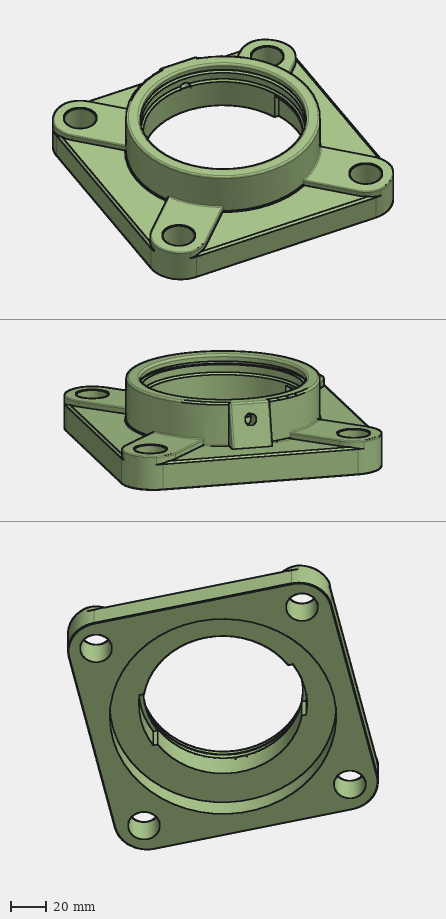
import cadquery as cq
import math

flange_side = 152.5
corner_radius = 18.9
flange_height = 16.3
flange_chamfer_drop = 1.2
flange_chamfer_width = 1.5
bottom_chamfer = 0.5

small_fillet = 0.6

pad_height = 20.0
bolt_offset = 59.8
pad_radius = 16.2
bolt_hole_radius = 9.0
bolt_hole_chamfer = 0.5

ring_height = 41.6
ring_radius = 54.9
ring_fillet = 1.2

recess_radius = 64.0
recess_depth = 13.0
bore_radius = 45.1
seat_floor = 30.0
seat_radius = 46.4
seat_chamfer_height = 1.2
groove_floor = 35.7
groove_roof = 37.5
groove_radius = 48.8
neck_radius = 47.0
mouth_fillet = 1.4

slot_width = 33.9
slot_radius = 47.6
slot_top = 28.4

ridge_width = 23.8
ridge_foot = 61.0
ridge_top = 54.6
ridge_edge_fillet = 1.0
lube_hole_radius = 3.4
lube_hole_height = 31.9


def rounded_square(height):
    block = cq.Workplane("XY").rect(flange_side, flange_side).extrude(height)
    return block.edges("|Z").fillet(corner_radius)


def make_flange():
    flange = rounded_square(flange_height)
    flange = flange.faces("<Z").chamfer(bottom_chamfer)
    return flange.faces(">Z").chamfer(flange_chamfer_drop, flange_chamfer_width)


def make_pad(angle):
    """Straight-sided pad with a round outer end, trimmed to the flange corner."""
    bolt_distance = bolt_offset * math.sqrt(2)
    pad_base = flange_height - flange_chamfer_drop
    pad = (
        cq.Workplane("XY", origin=(0, 0, pad_base))
        .moveTo(0, -pad_radius)
        .lineTo(bolt_distance, -pad_radius)
        .threePointArc((bolt_distance + pad_radius, 0), (bolt_distance, pad_radius))
        .lineTo(0, pad_radius)
        .close()
        .extrude(pad_height - pad_base)
        .faces(">Z")
        .edges()
        .fillet(small_fillet)
        .rotate((0, 0, 0), (0, 0, 1), angle)
    )
    corner_limit = rounded_square(pad_height).faces(">Z").edges().fillet(small_fillet)
    return pad.intersect(corner_limit)


def make_ring():
    ring = cq.Workplane("XY").circle(ring_radius).extrude(ring_height)
    return ring.faces(">Z").edges().fillet(ring_fillet)


def make_ridge():
    """Block against the ring whose outer face leans in towards the top."""
    ridge = (
        cq.Workplane("XZ")
        .moveTo(-bore_radius, flange_height)
        .lineTo(-ridge_foot, flange_height)
        .lineTo(-ridge_top, ring_height)
        .lineTo(-bore_radius, ring_height)
        .close()
        .extrude(ridge_width / 2, both=True)
    )
    ridge = ridge.faces(">Z").edges("<X").fillet(ring_fillet)
    outer_box = cq.selectors.BoxSelector(
        (-ridge_foot, -ridge_width, flange_height), (-ridge_top, ridge_width, ring_height)
    )
    return ridge.edges("#Y").edges(outer_box).fillet(ridge_edge_fillet)


def make_bore():
    """Stepped cavity: bottom recess, bore, bearing seat, ring groove, neck and rounded mouth."""
    arc_middle = mouth_fillet * math.sqrt(0.5)
    mouth_radius = neck_radius + mouth_fillet
    mouth_start = ring_height - mouth_fillet
    profile = (
        cq.Workplane("XZ")
        .lineTo(recess_radius, 0)
        .lineTo(recess_radius, recess_depth)
        .lineTo(bore_radius, recess_depth)
        .lineTo(bore_radius, seat_floor)
        .lineTo(seat_radius, seat_floor + seat_chamfer_height)
        .lineTo(seat_radius, groove_floor)
        .lineTo(groove_radius, groove_floor)
        .lineTo(groove_radius, groove_roof)
        .lineTo(neck_radius, groove_roof)
        .lineTo(neck_radius, mouth_start)
        .threePointArc((mouth_radius - arc_middle, mouth_start + arc_middle), (mouth_radius, ring_height))
        .lineTo(0, ring_height)
        .close()
    )
    return profile.revolve(360, (0, 0), (0, 1))


def make_loading_slots():
    band = cq.Workplane("XY").circle(slot_radius).extrude(slot_top)
    strip = cq.Workplane("XY").rect(slot_width, flange_side).extrude(slot_top)
    return band.intersect(strip)


def make_bolt_hole(x, y):
    """Through hole with a small chamfer at the top of the pad."""
    hole = cq.Workplane("XY").circle(bolt_hole_radius).extrude(pad_height)
    chamfer_cone = (
        cq.Workplane("XY", origin=(0, 0, pad_height - bolt_hole_chamfer))
        .circle(bolt_hole_radius)
        .workplane(offset=bolt_hole_chamfer)
        .circle(bolt_hole_radius + bolt_hole_chamfer)
        .loft()
    )
    return hole.union(chamfer_cone).translate((x, y, 0))


def make_lube_hole():
    """Drilled square to the leaning face of the ridge, down into the bearing seat."""
    ridge_rise = ring_height - flange_height
    face_run = (ridge_foot - ridge_top) / ridge_rise
    face_x = ridge_foot - face_run * (lube_hole_height - flange_height)
    drill_plane = cq.Plane(
        origin=(-face_x, 0, lube_hole_height), xDir=(0, 1, 0), normal=(1, 0, -face_run)
    )
    drill_length = face_x - bore_radius
    return cq.Workplane(drill_plane).circle(lube_hole_radius).extrude(drill_length, both=True)


def round_ring_root(body):
    """Fillet the arcs where the ring meets the flange and the pads."""
    reach = ring_radius + small_fillet
    root_box = cq.selectors.BoxSelector(
        (-reach, -reach, flange_height - small_fillet),
        (reach, reach, pad_height + small_fillet),
    )
    return body.edges("%CIRCLE").edges(root_box).fillet(small_fillet)


result = make_flange().union(make_ring())
for pad_angle in (45, 135, 225, 315):
    result = result.union(make_pad(pad_angle))
result = round_ring_root(result)
result = result.union(make_ridge())
result = result.cut(make_bore()).cut(make_loading_slots()).cut(make_lube_hole())
for x_side in (-1, 1):
    for y_side in (-1, 1):
        result = result.cut(make_bolt_hole(x_side * bolt_offset, y_side * bolt_offset))